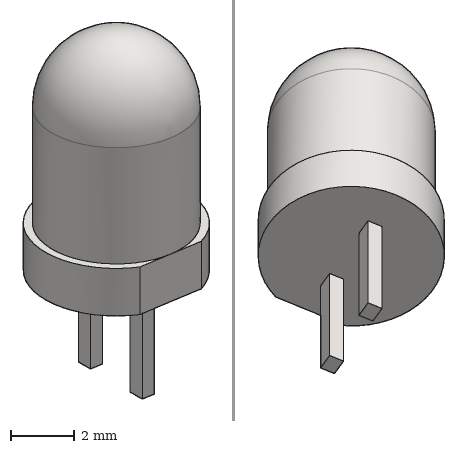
import cadquery as cq

total_height = 12.52
lens_diameter = 5.31
flange_diameter = 5.88
flange_height = 1.73
lead_length = 3.92
lead_width = 0.6
lead_depth = 0.5
lead_pitch = 2.53

lens_radius = lens_diameter / 2
flange_flat_offset = lens_radius
lens_base = lead_length + flange_height
lens_straight_height = total_height - lens_base - lens_radius


def make_lens():
    """Cylindrical lens closed by a hemispherical dome."""
    barrel = cq.Workplane("XY").workplane(offset=lens_base).circle(lens_radius).extrude(lens_straight_height)
    dome_base = lens_base + lens_straight_height
    dome = (
        cq.Workplane("XZ")
        .moveTo(0, dome_base)
        .lineTo(lens_radius, dome_base)
        .radiusArc((0, total_height), -lens_radius)
        .close()
        .revolve(360, (0, 0), (0, 1))
    )
    return barrel.union(dome, clean=False)


def make_flange():
    """Round base flange with a polarity flat on its +X side."""
    disc = cq.Workplane("XY").workplane(offset=lead_length).circle(flange_diameter / 2).extrude(flange_height)
    flat_cutter = (
        cq.Workplane("XY")
        .workplane(offset=lead_length)
        .center(flange_flat_offset, 0)
        .rect(flange_diameter, flange_diameter)
        .extrude(flange_height)
        .translate((flange_diameter / 2, 0, 0))
    )
    return disc.cut(flat_cutter)


def make_lead(x_center):
    """Straight rectangular lead ending at the underside of the flange."""
    return cq.Workplane("XY").center(x_center, 0).rect(lead_width, lead_depth).extrude(lead_length)


lens = make_lens()
flange = make_flange()
leads = [make_lead(side * lead_pitch / 2) for side in (-1, 1)]

result = cq.Compound.makeCompound([lens.val(), flange.val(), *[lead.val() for lead in leads]])